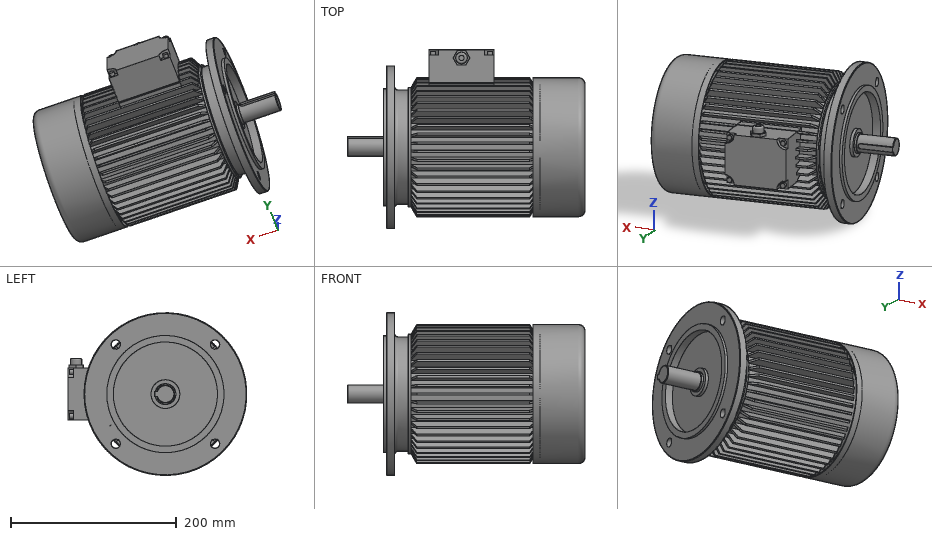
import cadquery as cq
import math


SHAFT_RADIUS = 22.0 / 2
SHAFT_CHAMFER = 1.0
KEY_WIDTH = 6.3
KEY_TOP = 13.0
KEY_STRAIGHT_LENGTH = 41.5

PILOT_FACE_X = 43.5
PILOT_RADIUS = 141.5 / 2
RECESS_RADIUS = 125.5 / 2
RECESS_DEPTH = 10.0
SEAL_BOSS_RADIUS = 34.7 / 2
SEAL_BOSS_HEIGHT = 4.0
SHAFT_SHOULDER_RADIUS = 25.2 / 2
SHAFT_SHOULDER_HEIGHT = 2.5
FLANGE_FRONT_X = 47.0
FLANGE_BACK_X = 57.0
FLANGE_RADIUS = 196.5 / 2
FLANGE_CHAMFER = 1.0
FLANGE_HOLE_DIAMETER = 11.0
FLANGE_HOLE_SPACING = 119.5
NECK_RADIUS = 138.2 / 2
NECK_FILLET_LENGTH = 4.3
NECK_FILLET_OUTER_RADIUS = 144.5 / 2
COLLAR_FRONT_X = 72.9
COLLAR_RADIUS = 144.5 / 2
COLLAR_CHAMFER = 1.1

HOUSING_FRONT_X = 76.5
CORE_RADIUS = 141.5 / 2
FIN_TIP_RADIUS = 168.0 / 2
FIN_COUNT = 50
FIN_WIDTH = 2.5
FIN_ROOT_OVERLAP = 5.7
FIN_FRONT_RAMP = 7.2
FIN_BACK_X = 220.0
FIN_RAMP_ANGLE = 60

COVER_FRONT_X = 223.7
COVER_RADIUS = FIN_TIP_RADIUS
COVER_INNER_RADIUS = 165.5 / 2
COVER_BACK_X = 286.8
COVER_FILLET_RADIUS = 8.3
COVER_GAP_DEPTH = 8.5

BOX_FRONT_X = 98.5
BOX_LENGTH = 78.5
BOX_WIDTH = 63.0
BOX_BASE_Y = 57.5
BOX_TOP_Y = 216.0 - FLANGE_RADIUS
CORNER_POCKET_RADIUS = 11.8
CORNER_POCKET_DEPTH = 6.5
SCREW_RADIUS = 6.3 / 2
SCREW_HEAD_HEIGHT = 4.5
SCREW_INSET = 5.0

CONNECTOR_INSET = 10.0
HEX_ACROSS_FLATS = 17.5
HEX_HEIGHT = 3.7
PLUG_RADIUS = 14.0 / 2
PLUG_HEIGHT = 7.7
PLUG_FILLET = 2.0
PLUG_BORE_DIAMETER = 6.3
PLUG_BORE_DEPTH = 5.7


def cylinder_x(start_x, end_x, radius):
    """Cylinder on the motor axis between two X positions."""
    return cq.Workplane("YZ", origin=(start_x, 0, 0)).circle(radius).extrude(end_x - start_x)


def make_turned_body():
    """Pilot ring, flange, neck, collar, housing core and fan cover as one revolved profile."""
    fillet_rise = NECK_FILLET_OUTER_RADIUS - NECK_RADIUS
    fillet_sweep = 2 * math.atan(fillet_rise / NECK_FILLET_LENGTH)
    arc_radius = NECK_FILLET_LENGTH / math.sin(fillet_sweep)
    fillet_middle = (
        FLANGE_BACK_X + NECK_FILLET_LENGTH - arc_radius * math.sin(fillet_sweep / 2),
        NECK_RADIUS + arc_radius * (1 - math.cos(fillet_sweep / 2)),
    )
    gap_floor_x = COVER_FRONT_X + COVER_GAP_DEPTH
    profile = (
        cq.Workplane("XY")
        .moveTo(PILOT_FACE_X, 0)
        .lineTo(PILOT_FACE_X, PILOT_RADIUS)
        .lineTo(FLANGE_FRONT_X, PILOT_RADIUS)
        .lineTo(FLANGE_FRONT_X, FLANGE_RADIUS - FLANGE_CHAMFER)
        .lineTo(FLANGE_FRONT_X + FLANGE_CHAMFER, FLANGE_RADIUS)
        .lineTo(FLANGE_BACK_X, FLANGE_RADIUS)
        .lineTo(FLANGE_BACK_X, NECK_FILLET_OUTER_RADIUS)
        .threePointArc(fillet_middle, (FLANGE_BACK_X + NECK_FILLET_LENGTH, NECK_RADIUS))
        .lineTo(COLLAR_FRONT_X, NECK_RADIUS)
        .lineTo(COLLAR_FRONT_X, COLLAR_RADIUS - COLLAR_CHAMFER)
        .lineTo(COLLAR_FRONT_X + COLLAR_CHAMFER, COLLAR_RADIUS)
        .lineTo(HOUSING_FRONT_X, COLLAR_RADIUS)
        .lineTo(HOUSING_FRONT_X, CORE_RADIUS)
        .lineTo(gap_floor_x, CORE_RADIUS)
        .lineTo(gap_floor_x, COVER_INNER_RADIUS)
        .lineTo(COVER_FRONT_X, COVER_INNER_RADIUS)
        .lineTo(COVER_FRONT_X, COVER_RADIUS)
        .lineTo(COVER_BACK_X - COVER_FILLET_RADIUS, COVER_RADIUS)
        .radiusArc((COVER_BACK_X, COVER_RADIUS - COVER_FILLET_RADIUS), COVER_FILLET_RADIUS)
        .lineTo(COVER_BACK_X, 0)
        .close()
    )
    return profile.revolve(360, (0, 0, 0), (1, 0, 0))


def make_fin():
    """One straight fin standing along +Z, with ramped ends."""
    slope = math.tan(math.radians(FIN_RAMP_ANGLE))
    root = CORE_RADIUS - FIN_ROOT_OVERLAP
    return (
        cq.Workplane("XZ")
        .moveTo(HOUSING_FRONT_X, root)
        .lineTo(HOUSING_FRONT_X, FIN_TIP_RADIUS - FIN_FRONT_RAMP * slope)
        .lineTo(HOUSING_FRONT_X + FIN_FRONT_RAMP, FIN_TIP_RADIUS)
        .lineTo(FIN_BACK_X, FIN_TIP_RADIUS)
        .lineTo(FIN_BACK_X + (FIN_TIP_RADIUS - root) / slope, root)
        .close()
        .extrude(FIN_WIDTH / 2, both=True)
    )


def make_fins():
    """Fins evenly spaced about the axis, one of them pointing along -Y."""
    fin = make_fin()
    pitch = 360 / FIN_COUNT
    fins = cq.Workplane("XY")
    for index in range(FIN_COUNT):
        fins = fins.add(fin.rotate((0, 0, 0), (1, 0, 0), 90 + index * pitch))
    return fins


def cut_flange_holes(body):
    """Four mounting holes through the flange only."""
    holes = (
        cq.Workplane("YZ", origin=(FLANGE_FRONT_X, 0, 0))
        .rect(FLANGE_HOLE_SPACING, FLANGE_HOLE_SPACING, forConstruction=True)
        .vertices()
        .circle(FLANGE_HOLE_DIAMETER / 2)
        .extrude(FLANGE_BACK_X - FLANGE_FRONT_X)
    )
    return body.cut(holes)


def add_recess_and_seal_boss(body):
    """Round recess inside the pilot ring, with a seal boss and shaft shoulder on its floor."""
    floor_x = PILOT_FACE_X + RECESS_DEPTH
    boss_x = floor_x - SEAL_BOSS_HEIGHT
    body = body.cut(cylinder_x(PILOT_FACE_X, floor_x, RECESS_RADIUS))
    body = body.union(cylinder_x(boss_x, floor_x, SEAL_BOSS_RADIUS))
    return body.union(cylinder_x(boss_x - SHAFT_SHOULDER_HEIGHT, floor_x, SHAFT_SHOULDER_RADIUS))


def make_shaft():
    """Chamfered shaft with a key on its +Y side that is flat at the tip and round at the far end."""
    shaft = cylinder_x(0, PILOT_FACE_X + RECESS_DEPTH, SHAFT_RADIUS).faces("<X").chamfer(SHAFT_CHAMFER)
    key = (
        cq.Workplane("XZ")
        .moveTo(0, -KEY_WIDTH / 2)
        .lineTo(KEY_STRAIGHT_LENGTH, -KEY_WIDTH / 2)
        .threePointArc(
            (KEY_STRAIGHT_LENGTH + KEY_WIDTH / 2, 0),
            (KEY_STRAIGHT_LENGTH, KEY_WIDTH / 2),
        )
        .lineTo(0, KEY_WIDTH / 2)
        .close()
        .extrude(-KEY_TOP)
    )
    return shaft.union(key)


def make_terminal_box():
    """Box with a quarter-round pocket and a screw head at each outer corner."""
    center_x = BOX_FRONT_X + BOX_LENGTH / 2
    pocket_floor_y = BOX_TOP_Y - CORNER_POCKET_DEPTH
    box = (
        cq.Workplane("XZ", origin=(center_x, BOX_BASE_Y, 0))
        .rect(BOX_LENGTH, BOX_WIDTH)
        .extrude(BOX_BASE_Y - BOX_TOP_Y)
    )
    floor = cq.Workplane("XZ", origin=(center_x, pocket_floor_y, 0))
    pockets = (
        floor.rect(BOX_LENGTH, BOX_WIDTH, forConstruction=True)
        .vertices()
        .circle(CORNER_POCKET_RADIUS)
        .extrude(-CORNER_POCKET_DEPTH)
    )
    screws = (
        floor.rect(BOX_LENGTH - 2 * SCREW_INSET, BOX_WIDTH - 2 * SCREW_INSET, forConstruction=True)
        .vertices()
        .circle(SCREW_RADIUS)
        .extrude(-SCREW_HEAD_HEIGHT)
    )
    return box.cut(pockets).union(screws)


def make_connector():
    """Hexagonal nut with a round, hollow plug, standing on the +Z face of the box."""
    center_x = BOX_FRONT_X + BOX_LENGTH / 2
    base = cq.Workplane("XY", origin=(center_x, BOX_TOP_Y - CONNECTOR_INSET, BOX_WIDTH / 2))
    across_corners = HEX_ACROSS_FLATS / math.cos(math.pi / 6)
    nut = base.polygon(6, across_corners).extrude(HEX_HEIGHT)
    plug = (
        base.workplane(offset=HEX_HEIGHT)
        .circle(PLUG_RADIUS)
        .extrude(PLUG_HEIGHT)
        .faces(">Z")
        .fillet(PLUG_FILLET)
        .faces(">Z")
        .workplane()
        .hole(PLUG_BORE_DIAMETER, PLUG_BORE_DEPTH)
    )
    return nut.union(plug)


body = cut_flange_holes(make_turned_body())
body = add_recess_and_seal_boss(body)
body = body.union(make_fins())
result = body.union(make_shaft()).union(make_terminal_box()).union(make_connector())